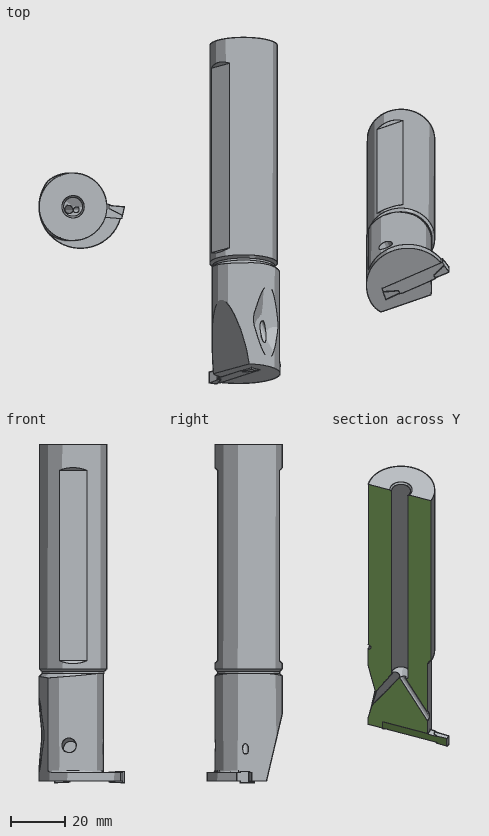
import cadquery as cq
import math

total_height = 125.0
shank_radius = 12.5
shank_bottom = 42.1
flat_width = 10.1
flat_bottom = 45.1
flat_top = 115.4
flat_level = math.sqrt(shank_radius**2 - (flat_width / 2) ** 2)

groove_radius = 11.5
groove_top = shank_bottom - (shank_radius - groove_radius)
groove_bottom = 40.4
groove_wall_radius = 12.2
shoulder_reach = 6.2
shoulder_drop = 5.0

body_bottom = 0.6
blade_top = 3.9
blade_radius = 15.4
blade_offset = 2.8
neck_radius = 12.5
neck_offset = -1.2
neck_base_fillet = 0.6

clearance_level = 6.6
clearance_angle = 13.2
clearance_arc_start_x = -10.5
clearance_arc_end_x = blade_offset - blade_radius
clearance_arc_drop = 6.2

dish_axis_x = -25.0
dish_y = -1.9
dish_middle = 17.6
dish_end_radius = 11.9
dish_half_height = 16.2
dish_cone_radius = 15.0
dish_round_half_height = 2.6

bore_diameter = 7.0
bore_chamfer = 0.6
bore_bottom = 30.0
drill_point_angle = 140.0
side_outlet_diameter = 3.0
side_outlet_start = (-1.0, -1.0, 30.5)
side_outlet_end = (-13.2, -0.2, 9.4)
edge_outlet_diameter = 2.1
edge_outlet_start = (0.5, -1.1, 30.5)
edge_outlet_end = (11.9, -1.1, 11.2)
front_hole_diameter = 5.2
front_hole_depth = 5.0
front_hole_x = -1.5
front_hole_z = 13.9
front_hole_direction = (0.12, 1.0, -0.22)

insert_length = 26.0
insert_depth = 4.5
insert_centre = (6.06, 1.1)
insert_tilt = -4.9
insert_end_relief = 0.6
chip_seat_length = 4.8
chip_wall_length = 1.5
insert_rise = 0.5
cutting_edge_top = 4.2
land_taper = 0.2
land_depth = 3.2
land_back_depth = 1.1
land_length = 5.8

block = 75.0

tolerance = 0.001


def turned_bar():
    """Shank and groove, widening below the groove into the shoulder of the neck."""
    shoulder_top = groove_bottom - (groove_wall_radius - groove_radius)
    outline = [
        (0, body_bottom),
        (groove_wall_radius + shoulder_reach, body_bottom),
        (groove_wall_radius + shoulder_reach, shoulder_top - shoulder_drop),
        (groove_wall_radius, shoulder_top),
        (groove_radius, groove_bottom),
        (groove_radius, groove_top),
        (shank_radius, shank_bottom),
        (shank_radius, total_height),
        (0, total_height),
    ]
    return cq.Workplane("XZ").polyline(outline).close().revolve(360, (0, 0, 0), (0, 1, 0))


def disc(offset, radius, bottom, top):
    """Vertical cylinder whose axis is shifted along X."""
    base = cq.Workplane("XY", origin=(offset, 0, bottom))
    return base.circle(radius).extrude(top - bottom)


def neck_limits():
    """Lens of the two circles below the groove, with the round shank left whole above it."""
    lens = disc(blade_offset, blade_radius, body_bottom, groove_bottom).intersect(
        disc(neck_offset, neck_radius, body_bottom, groove_bottom)
    )
    return lens.union(disc(0, shank_radius, groove_bottom, total_height))


def shank_flat(side):
    """Cutter for one flat; its ends rise at 45 degrees. side is +1 for +Y and -1 for -Y."""
    run_out = block - flat_level
    outline = [
        (side * flat_level, flat_bottom),
        (side * flat_level, flat_top),
        (side * block, flat_top + run_out),
        (side * block, flat_bottom - run_out),
    ]
    return cq.Workplane("YZ").polyline(outline).close().extrude(block / 2, both=True)


def clearance_keep():
    """Block below the sloping clearance plane, with a large round at its -X corner."""
    slope_plane = cq.Plane(
        origin=(0, clearance_level, body_bottom),
        xDir=(1, 0, 0),
        normal=(0, math.sin(math.radians(clearance_angle)), math.cos(math.radians(clearance_angle))),
    )
    run = clearance_arc_start_x - clearance_arc_end_x
    arc_radius = (run**2 + clearance_arc_drop**2) / (2 * run)
    return (
        cq.Workplane(slope_plane)
        .moveTo(clearance_arc_start_x, 0)
        .lineTo(block, 0)
        .lineTo(block, -block)
        .lineTo(-block, -block)
        .lineTo(-block, -clearance_arc_drop)
        .lineTo(clearance_arc_end_x, -clearance_arc_drop)
        .radiusArc((clearance_arc_start_x, 0), arc_radius)
        .close()
        .extrude(2 * block, both=True)
    )


def blade():
    """Part of the eccentric disc that supports the insert from below."""
    below_insert = (
        cq.Workplane("XY")
        .center(*insert_centre)
        .transformed(rotate=(0, 0, insert_tilt))
        .center(0, -insert_depth - block / 2)
        .rect(2 * block, block)
        .extrude(block)
    )
    return disc(blade_offset, blade_radius, body_bottom, blade_top).intersect(below_insert)


def dish():
    """Cutter for the dish, a spool-shaped solid of revolution."""
    cone_angle = math.atan2(dish_cone_radius - dish_end_radius, dish_half_height - dish_round_half_height)
    peak_radius = dish_cone_radius + dish_round_half_height * math.tan(cone_angle / 2)
    return (
        cq.Workplane("XZ", origin=(dish_axis_x, dish_y, dish_middle))
        .moveTo(0, -dish_half_height)
        .lineTo(dish_end_radius, -dish_half_height)
        .lineTo(dish_cone_radius, -dish_round_half_height)
        .threePointArc((peak_radius, 0), (dish_cone_radius, dish_round_half_height))
        .lineTo(dish_end_radius, dish_half_height)
        .lineTo(0, dish_half_height)
        .close()
        .revolve(360, (0, 0, 0), (0, 1, 0))
    )


def bore():
    """Coolant bore with a chamfered mouth and a conical drill point."""
    radius = bore_diameter / 2
    point_depth = radius / math.tan(math.radians(drill_point_angle / 2))
    outline = [
        (0, bore_bottom - point_depth),
        (radius, bore_bottom),
        (radius, total_height - bore_chamfer),
        (radius + bore_chamfer, total_height),
        (0, total_height),
    ]
    return cq.Workplane("XZ").polyline(outline).close().revolve(360, (0, 0, 0), (0, 1, 0))


def drilled_hole(start, end, diameter):
    """Round cutter between two points."""
    start_point = cq.Vector(*start)
    direction = cq.Vector(*end) - start_point
    hole = cq.Solid.makeCylinder(diameter / 2, direction.Length, start_point, direction)
    return cq.Workplane(hole)


def front_hole():
    """Flat-bottomed hole in the -Y side of the neck, drilled slightly downwards."""
    mouth_y = -math.sqrt(neck_radius**2 - (front_hole_x - neck_offset) ** 2)
    mouth = cq.Vector(front_hole_x, mouth_y, front_hole_z)
    direction = cq.Vector(*front_hole_direction).normalized()
    start = mouth - direction * front_hole_depth
    end = mouth + direction * front_hole_depth
    return drilled_hole(start.toTuple(), end.toTuple(), front_hole_diameter)


def insert_plane(height):
    """Workplane in the middle of the insert, with its local X along the insert."""
    base = cq.Workplane("XY", origin=(*insert_centre, height))
    return base.transformed(rotate=(0, 0, insert_tilt))


def edge_land(end):
    """Land behind one cutting edge, thinning away from the edge. end is +1 or -1 along the insert."""
    tip = insert_length / 2
    back = tip - land_length
    outline = [
        (end * tip, 0),
        (end * (tip - insert_end_relief * land_depth / insert_depth), -land_depth),
        (end * back, -land_back_depth),
        (end * back, 0),
    ]
    thickness = [
        (end * tip, 0),
        (end * tip, cutting_edge_top),
        (end * back, cutting_edge_top - land_taper),
        (end * back, land_taper),
    ]
    land = insert_plane(0).polyline(outline).close().extrude(cutting_edge_top)
    taper = insert_plane(0).transformed(rotate=(90, 0, 0)).polyline(thickness).close()
    return land.intersect(taper.extrude(insert_depth, both=True))


def cutting_insert():
    """Bar with a cutting edge at both ends; the edge lands are wider in Z than the bar."""
    tip = insert_length / 2
    heel = tip - insert_end_relief
    seat = tip - chip_seat_length
    wall = seat - chip_wall_length
    profile = [
        (-tip, 0),
        (-seat, 0),
        (-wall, insert_rise),
        (wall, insert_rise),
        (seat, 0),
        (tip, 0),
        (heel, -insert_depth),
        (-heel, -insert_depth),
    ]
    insert = insert_plane(body_bottom).polyline(profile).close().extrude(blade_top - body_bottom)
    for end in (-1, 1):
        insert = insert.union(edge_land(end))
    return insert


def holder(insert):
    """Shank, neck and blade in one piece, with the pocket that the insert fills."""
    neck_and_shank = turned_bar().intersect(neck_limits())
    body = neck_and_shank.union(blade())
    neck_base = [
        edge
        for edge in body.edges("%CIRCLE").vals()
        if abs(edge.Center().z - blade_top) < tolerance and abs(edge.radius() - neck_radius) < tolerance
    ]
    body = body.newObject(neck_base).fillet(neck_base_fillet)
    body = body.intersect(clearance_keep())
    for side in (-1, 1):
        body = body.cut(shank_flat(side))
    body = body.cut(dish()).cut(bore()).cut(front_hole())
    body = body.cut(drilled_hole(side_outlet_start, side_outlet_end, side_outlet_diameter))
    body = body.cut(drilled_hole(edge_outlet_start, edge_outlet_end, edge_outlet_diameter))
    return body.cut(insert)


insert = cutting_insert()
result = cq.Compound.makeCompound([holder(insert).val(), insert.val()])